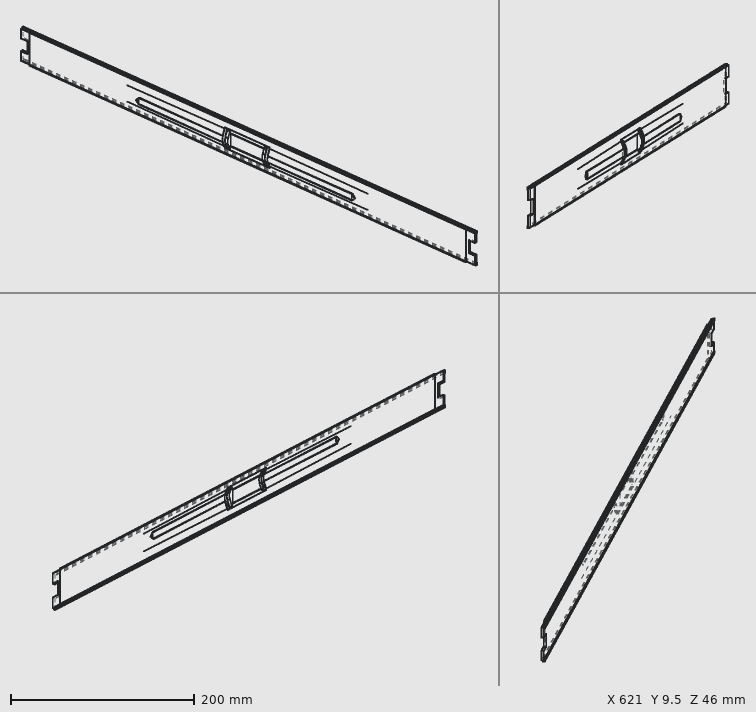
import cadquery as cq

LENGTH = 621.0
HEIGHT = 46.0
RAIL_FRONT = 4.0
WEB_BACK = 0.75
WEB_HEIGHT = 43.5
LIP_DEPTH = 2.0
LIP_HEIGHT = 2.5
NOTCH_DEPTH = 9.0
NOTCH_HEIGHT = 17.5

COVER_LENGTH = 596.5
COVER_HEIGHT = 45.0
COVER_FRONT = 4.65
OVERALL_DEPTH = 9.5

CROWN_END_WIDTH = NOTCH_HEIGHT
CROWN_MID_WIDTH = 24.0
CROWN_END_RISE = 0.1
CROWN_MID_FRONT = 9.0
CROWN_STATIONS = (-1.0, -0.5, 0.0, 0.5, 1.0)

RIDGE_LENGTH = 299.0
RIDGE_WIDTH = 9.0
RIDGE_TIP = 4.0
RIDGE_EDGE_FRONT = 8.55
RIDGE_CREST_FRONT = 9.2

WINDOW_LENGTH = 47.0
WINDOW_HEIGHT = NOTCH_HEIGHT
PAD_LENGTH = 61.5
PAD_HEIGHT = 28.0
PAD_RISE = 0.3
COLLAR_WIDTH = 3.4


def block(x_size, z_size, y_back, y_front, x_middle=0.0):
    """Box centred in Z; y_back and y_front are distances from the back plane toward -Y."""
    depth = y_front - y_back
    return cq.Workplane("XY").box(x_size, depth, z_size).translate((x_middle, -y_back - depth / 2, 0))


def arched_wire(x, half_width, y_base, y_crest):
    """Closed outline across the part at x: a straight base and an arc bulging toward -Y."""
    outline = (
        cq.Workplane("YZ", origin=(x, 0, 0))
        .moveTo(-y_base, -half_width)
        .threePointArc((-y_crest, 0), (-y_base, half_width))
        .close()
    )
    return outline.val()


def arched_bar(x_start, length, half_width, y_base, y_crest):
    """Prism of the arched outline, running along X from x_start."""
    wire = arched_wire(x_start, half_width, y_base, y_crest)
    return cq.Workplane(cq.Solid.extrudeLinear(wire, [], cq.Vector(length, 0, 0)))


def crown():
    """Shallow arched body standing on the front face of the cover."""
    wires = []
    for station in CROWN_STATIONS:
        fullness = 1 - station**2
        width = CROWN_END_WIDTH + (CROWN_MID_WIDTH - CROWN_END_WIDTH) * fullness
        rise = CROWN_END_RISE + (CROWN_MID_FRONT - COVER_FRONT - CROWN_END_RISE) * fullness
        wires.append(arched_wire(station * COVER_LENGTH / 2, width / 2, COVER_FRONT, COVER_FRONT + rise))
    return cq.Workplane(cq.Solid.makeLoft(wires))


def ridge():
    """Straight band with an arched top and a pointed tip at each end."""
    tip = RIDGE_LENGTH / 2
    shoulder = tip - RIDGE_TIP
    edge = RIDGE_WIDTH / 2
    outline = [(-tip, 0), (-shoulder, edge), (shoulder, edge), (tip, 0), (shoulder, -edge), (-shoulder, -edge)]
    band = (
        cq.Workplane("XZ", origin=(0, -COVER_FRONT, 0))
        .polyline(outline)
        .close()
        .extrude(RIDGE_EDGE_FRONT - COVER_FRONT)
    )
    return band.union(arched_bar(-shoulder, 2 * shoulder, edge, RIDGE_EDGE_FRONT, RIDGE_CREST_FRONT))


def collar(side):
    """Arched band across the crown at one side of the window."""
    x_start = side * (PAD_LENGTH - COLLAR_WIDTH) / 2 - COLLAR_WIDTH / 2
    return arched_bar(x_start, COLLAR_WIDTH, PAD_HEIGHT / 2, COVER_FRONT, OVERALL_DEPTH)


def build_rail():
    rail = block(LENGTH, WEB_HEIGHT, WEB_BACK, RAIL_FRONT)
    lips = block(LENGTH, HEIGHT, 0, LIP_DEPTH).cut(block(LENGTH, HEIGHT - 2 * LIP_HEIGHT, 0, LIP_DEPTH))
    rail = rail.union(lips)
    for side in (-1, 1):
        x = side * (LENGTH - NOTCH_DEPTH) / 2
        rail = rail.cut(block(NOTCH_DEPTH, NOTCH_HEIGHT, 0, RAIL_FRONT, x))
    return rail


def build_cover():
    sheet = block(COVER_LENGTH, COVER_HEIGHT, LIP_DEPTH, COVER_FRONT)
    sheet = sheet.cut(block(COVER_LENGTH, WEB_HEIGHT, LIP_DEPTH, RAIL_FRONT))
    raised = crown().union(ridge()).union(collar(-1)).union(collar(1))
    raised = raised.cut(block(WINDOW_LENGTH, HEIGHT, COVER_FRONT, OVERALL_DEPTH))
    pad = block(PAD_LENGTH, PAD_HEIGHT, COVER_FRONT, COVER_FRONT + PAD_RISE)
    window = block(WINDOW_LENGTH, WINDOW_HEIGHT, RAIL_FRONT, OVERALL_DEPTH)
    return sheet.union(raised).union(pad).cut(window)


rail = build_rail()
cover = build_cover()
result = cq.Compound.makeCompound([rail.val(), cover.val()])